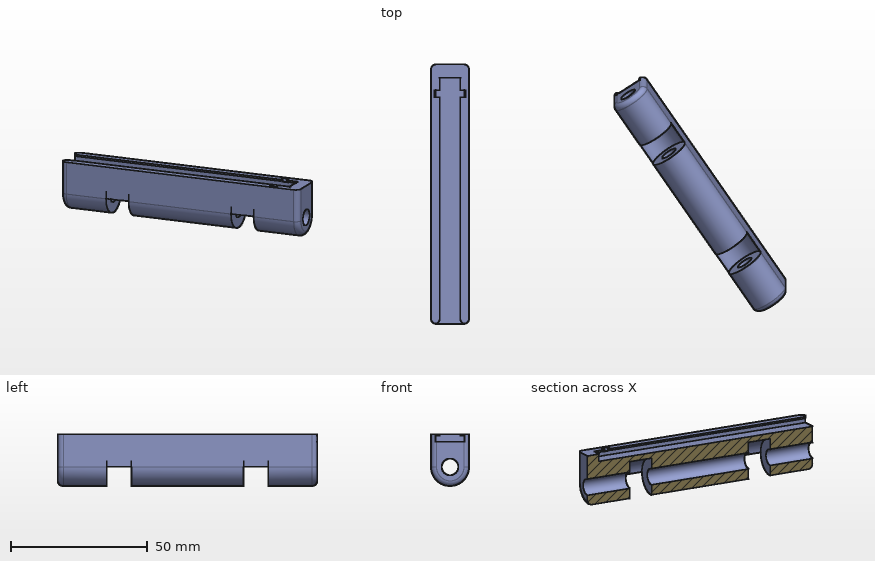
import cadquery as cq

WIDTH = 14.0
LENGTH = 95.0
HEIGHT = 19.0
HALF_LENGTH = LENGTH / 2
ROUND_RADIUS = WIDTH / 2
AXIS_Z = ROUND_RADIUS - HEIGHT
END_FILLET = 2.0

BORE_DIAMETER = 6.0

CHANNEL_WIDTH = 10.5
CHANNEL_DEPTH = 2.75
LIP_THICKNESS = 0.65
LIP_GAP = 7.5
CHANNEL_END_WALL = 5.0
LIP_ROUND = END_FILLET

NOTCH_SPAN = 11.5
NOTCH_LENGTH = 2.5
NOTCH_DEPTH = 1.25
NOTCH_END_DISTANCE = 9.5

CROSS_CUT_LENGTH = 9.0
CROSS_CUT_SPACING = 50.0


def box_between(width, y_start, y_end, z_bottom, z_top):
    """Box centred on X, spanning the given Y and Z ranges."""
    return (
        cq.Workplane("XY")
        .box(width, y_end - y_start, z_top - z_bottom, centered=(True, False, False))
        .translate((0, y_start, z_bottom))
    )


def make_body():
    """U-section bar with its end edges rounded, except along the flat top."""
    bar = (
        cq.Workplane("XZ", origin=(0, HALF_LENGTH, 0))
        .moveTo(-ROUND_RADIUS, 0)
        .lineTo(-ROUND_RADIUS, AXIS_Z)
        .threePointArc((0, -HEIGHT), (ROUND_RADIUS, AXIS_Z))
        .lineTo(ROUND_RADIUS, 0)
        .close()
        .extrude(LENGTH)
    )
    return bar.faces("<Y or >Y").edges("not >Z").fillet(END_FILLET)


def make_bore():
    """Cylinder through the full length, concentric with the rounded underside."""
    return (
        cq.Workplane("XZ", origin=(0, HALF_LENGTH, AXIS_Z))
        .circle(BORE_DIAMETER / 2)
        .extrude(LENGTH)
    )


def make_lip_gap(channel_end):
    """Full-depth slot between the lips, flaring at the open end with a round on each corner."""
    half_gap = LIP_GAP / 2
    half_mouth = half_gap + LIP_ROUND
    round_start = LIP_ROUND - HALF_LENGTH
    return (
        cq.Workplane("XY")
        .moveTo(-half_gap, channel_end)
        .lineTo(-half_gap, round_start)
        .radiusArc((-half_mouth, -HALF_LENGTH), LIP_ROUND)
        .lineTo(half_mouth, -HALF_LENGTH)
        .radiusArc((half_gap, round_start), LIP_ROUND)
        .lineTo(half_gap, channel_end)
        .close()
        .extrude(-CHANNEL_DEPTH)
    )


def make_channel():
    """T-shaped channel: full-depth slot widened by a slide space below the lips."""
    channel_end = HALF_LENGTH - CHANNEL_END_WALL
    slide_space = box_between(CHANNEL_WIDTH, -HALF_LENGTH, channel_end, -CHANNEL_DEPTH, -LIP_THICKNESS)
    return slide_space.union(make_lip_gap(channel_end))


def make_notches():
    """Block crossing both lips, leaving a small ledge in each channel wall."""
    notch_end = HALF_LENGTH - NOTCH_END_DISTANCE
    return box_between(NOTCH_SPAN, notch_end - NOTCH_LENGTH, notch_end, -NOTCH_DEPTH, 0)


def make_cross_cut(centre_y):
    """Arched clearance, concentric with the bore and open through the underside."""
    half_cut = CROSS_CUT_LENGTH / 2
    return (
        cq.Workplane("XZ", origin=(0, centre_y + half_cut, AXIS_Z))
        .circle(ROUND_RADIUS)
        .extrude(CROSS_CUT_LENGTH)
    )


result = make_body().cut(make_bore()).cut(make_channel()).cut(make_notches())
for side in (-1, 1):
    result = result.cut(make_cross_cut(side * CROSS_CUT_SPACING / 2))